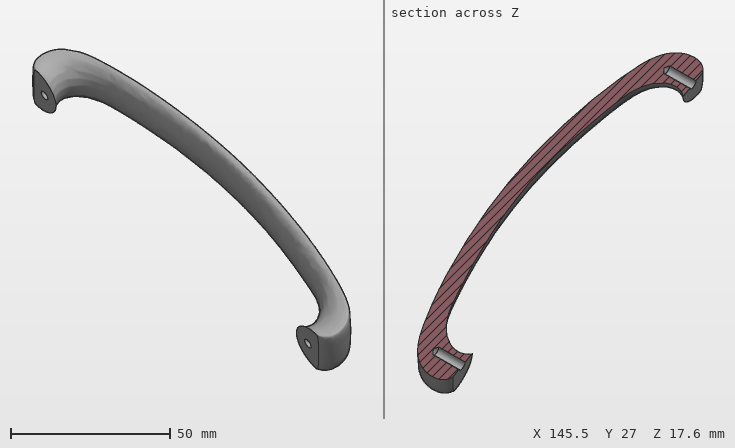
import cadquery as cq
import math

half_length = 72.73
rise = 27.0
foot_width = 17.6
middle_width = 16.4

foot_outer_x = 69.2
foot_inner_x = 58.4
outer_widest_y = 6.2
inner_widest_x = 60.2
inner_widest_y = 5.2
middle_thickness = 5.6
middle_inner_y = rise - middle_thickness
outer_profile_points = [
    (-foot_outer_x, 0),
    (-half_length, outer_widest_y),
    (-68.7, 13.6),
    (-59.0, 18.5),
    (-30.0, 24.8),
    (0, rise),
]
inner_profile_points = [
    (-foot_inner_x, 0),
    (-inner_widest_x, inner_widest_y),
    (-56.0, 11.5),
    (-44.5, 16.0),
    (-22.0, 19.9),
    (0, middle_inner_y),
]

foot_crest_depth = 1.4
middle_crest_depth = 2.3
outer_flatness = 3.5
inner_flatness = 2.0
points_per_section = 24
section_count = 19

screw_spacing = 128.0
screw_diameter = 3.2
screw_depth = 10.0
drill_tip_depth = 1.0


def profile_edge(half_points):
    """Smooth symmetric curve from one foot, over the middle, to the other foot."""
    mirrored_points = [(-x, y) for x, y in reversed(half_points[:-1])]
    return cq.Edge.makeSpline([cq.Vector(x, y, 0) for x, y in half_points + mirrored_points])


def section_point(angle, thickness, half_width, crest_depth):
    """Point of the D section at an angle counted from the middle of the outer face."""
    toward_inside = -math.cos(angle)
    upward = math.sin(angle)
    flatness = inner_flatness if toward_inside > 0 else outer_flatness
    reach = thickness - crest_depth if toward_inside > 0 else crest_depth
    power = 2 / flatness
    depth = crest_depth + math.copysign(reach * abs(toward_inside) ** power, toward_inside)
    height = math.copysign(half_width * abs(upward) ** power, upward)
    return depth, height


def section_wire(outer, inner, half_width, crest_depth):
    """Closed smooth D section between facing points of the outer and inner profiles."""
    across = inner - outer
    plane = cq.Plane(origin=outer, xDir=across, normal=across.cross(cq.Vector(0, 0, 1)))
    points = []
    for i in range(points_per_section):
        angle = 2 * math.pi * i / points_per_section
        points.append(section_point(angle, across.Length, half_width, crest_depth))
    return cq.Workplane(plane).spline(points, periodic=True).wire().val()


def blend(middle_value, foot_value, from_middle):
    """Value that grows quadratically from the middle (0) to a foot (1)."""
    return middle_value + (foot_value - middle_value) * from_middle**2


def make_bow():
    """Loft the sections from one foot, over the middle, to the other foot."""
    outer_edge = profile_edge(outer_profile_points)
    inner_edge = profile_edge(inner_profile_points)
    sections = []
    for i in range(section_count):
        along = i / (section_count - 1)
        from_middle = abs(2 * along - 1)
        half_width = blend(middle_width, foot_width, from_middle) / 2
        crest_depth = blend(middle_crest_depth, foot_crest_depth, from_middle)
        outer = outer_edge.positionAt(along)
        inner = inner_edge.positionAt(along)
        sections.append(section_wire(outer, inner, half_width, crest_depth))
    return cq.Workplane(cq.Solid.makeLoft(sections))


def make_screw_hole(x):
    """Blind drilled hole entering a foot along +Y, with a conical tip."""
    radius = screw_diameter / 2
    return (
        cq.Workplane("XY")
        .polyline([(0, 0), (radius, 0), (radius, screw_depth), (0, screw_depth + drill_tip_depth)])
        .close()
        .revolve(360, (0, 0, 0), (0, 1, 0))
        .translate((x, 0, 0))
    )


result = make_bow()
for side in (-1, 1):
    result = result.cut(make_screw_hole(side * screw_spacing / 2))